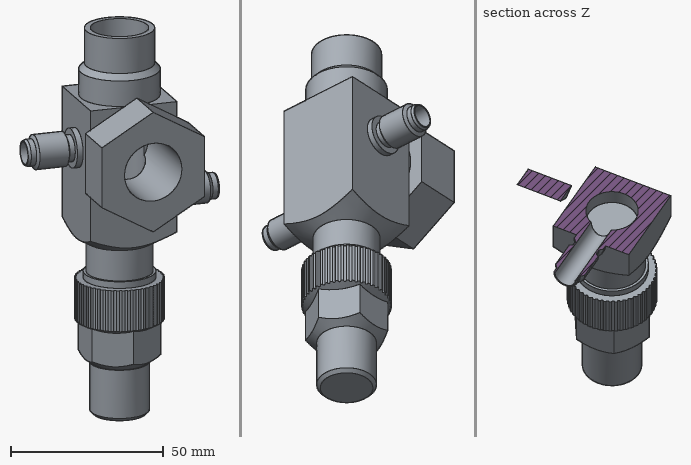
import math
import cadquery as cq

TOTAL_HEIGHT = 132.5

BLOCK_WIDTH_X = 28.0
BLOCK_WIDTH_Y = 30.0
BLOCK_BOTTOM = 59.4
BLOCK_TOP = 109.7
BLOCK_CONE_ANGLE = 30

COLLAR_RADIUS = 13.4
COLLAR_TOP = 118.5
TUBE_RADIUS = 11.5
TUBE_SHOULDER = 120.5
TUBE_BORE_RADIUS = 9.5

NECK_RADIUS = 11.0
FLANGE_RADIUS = 11.9
FLANGE_TOP = 48.9

KNURL_TOP = 46.6
KNURL_RIM_BOTTOM = 32.7
KNURL_RADIUS = 14.7
KNURL_GROOVES = 50
KNURL_CONE_ANGLE = 30

HEX_FLATS = 23.8
HEX_BOTTOM = 17.8
HEX_CONE_RADIUS = 9.3
HEX_CONE_ANGLE = 35
END_RADIUS = 9.8
END_CHAMFER = 1.2

OUTLET_Z = 92.9
OUTLET_NECK_RADIUS = 13.0
OUTLET_BORE_RADIUS = 10.0
NUT_FLATS = 35.6
NUT_START = 17.0
NUT_END = 33.0

FRONT_PORT_Z = OUTLET_Z
FRONT_PORT_PROFILE = [
    (6.6, 0), (6.6, 2.0), (4.5, 2.0), (4.5, 3.8), (5.8, 4.5), (5.8, 14.7),
    (4.5, 15.4), (4.5, 17.2), (4.1, 18.2),
]
BACK_PORT_Z = 74.6
BACK_PORT_PROFILE = [
    (5.4, 0), (5.4, 1.6), (4.4, 2.6), (4.4, 4.4), (5.4, 5.0), (5.4, 14.7),
    (4.4, 15.9), (4.4, 17.8), (4.1, 18.3),
]
PORT_BORE_RADIUS = 3.7

MAIN_BORE_RADIUS = 8.5
MAIN_BORE_FLOOR_GAP = 1.3
MAIN_BORE_FLOOR = BACK_PORT_Z - PORT_BORE_RADIUS - MAIN_BORE_FLOOR_GAP


def cylinder(radius, bottom, top):
    """Vertical cylinder on the main axis."""
    return cq.Workplane("XY").workplane(offset=bottom).circle(radius).extrude(top - bottom)


def turned(points):
    """Solid turned about Z from (radius, height) points; the first and last lie on the axis."""
    return cq.Workplane("XZ").polyline(points).close().revolve(360, (0, 0, 0), (0, 1, 0))


def hexagon_diameter(flats):
    """Width across the corners of a hexagon, from its width across the flats."""
    return flats / math.cos(math.radians(30))


def cone_trimmed(body, angle, radius, bottom, reach, top):
    """Trim a body from below with a cone that widens upward from `radius` at `bottom`.

    `angle` is measured from the horizontal; `reach` is a radius outside the body.
    """
    reach_height = bottom + (reach - radius) * math.tan(math.radians(angle))
    envelope = turned([
        (0, bottom), (radius, bottom), (reach, reach_height), (reach, top), (0, top),
    ])
    return body.intersect(envelope)


def block():
    body = (
        cq.Workplane("XY")
        .workplane(offset=BLOCK_BOTTOM)
        .rect(BLOCK_WIDTH_X, BLOCK_WIDTH_Y)
        .extrude(BLOCK_TOP - BLOCK_BOTTOM)
    )
    return cone_trimmed(
        body, BLOCK_CONE_ANGLE, NECK_RADIUS, BLOCK_BOTTOM, BLOCK_WIDTH_Y, BLOCK_TOP
    )


def solder_tube():
    return turned([
        (0, BLOCK_TOP), (COLLAR_RADIUS, BLOCK_TOP), (COLLAR_RADIUS, COLLAR_TOP),
        (TUBE_RADIUS, TUBE_SHOULDER), (TUBE_RADIUS, TOTAL_HEIGHT), (0, TOTAL_HEIGHT),
    ])


def knurled_ring():
    """Ring with half-round grooves that are as wide as the lands between them."""
    cone_height = (KNURL_RADIUS - END_RADIUS) * math.tan(math.radians(KNURL_CONE_ANGLE))
    bottom = KNURL_RIM_BOTTOM - cone_height
    pitch_angle = 360 / KNURL_GROOVES
    groove_radius = KNURL_RADIUS * math.radians(pitch_angle) / 4
    grooves = (
        cq.Workplane("XY")
        .workplane(offset=bottom)
        .polarArray(KNURL_RADIUS, pitch_angle / 2, 360, KNURL_GROOVES)
        .circle(groove_radius)
        .extrude(KNURL_TOP - bottom)
    )
    body = cylinder(KNURL_RADIUS, bottom, KNURL_TOP)
    body = cone_trimmed(body, KNURL_CONE_ANGLE, END_RADIUS, bottom, KNURL_RADIUS, KNURL_TOP)
    return body.cut(grooves)


def hexagonal_cap():
    diameter = hexagon_diameter(HEX_FLATS)
    body = (
        cq.Workplane("XY")
        .workplane(offset=HEX_BOTTOM)
        .polygon(6, diameter)
        .extrude(KNURL_RIM_BOTTOM - HEX_BOTTOM)
    )
    return cone_trimmed(
        body, HEX_CONE_ANGLE, HEX_CONE_RADIUS, HEX_BOTTOM, diameter, KNURL_RIM_BOTTOM
    )


def stem():
    neck = cylinder(NECK_RADIUS, FLANGE_TOP, BLOCK_BOTTOM)
    flange = cylinder(FLANGE_RADIUS, KNURL_TOP, FLANGE_TOP)
    round_end = cylinder(END_RADIUS, 0, HEX_BOTTOM).faces("<Z").chamfer(END_CHAMFER)
    return neck.union(flange).union(knurled_ring()).union(hexagonal_cap()).union(round_end)


def outlet_plane(x):
    """Plane facing +X, centred on the outlet axis."""
    return cq.Workplane("YZ", origin=(x, 0, OUTLET_Z))


def outlet():
    """Round neck and nut; two corners of the nut point up and down."""
    block_face = BLOCK_WIDTH_X / 2
    neck = outlet_plane(block_face).circle(OUTLET_NECK_RADIUS).extrude(NUT_START - block_face)
    nut = (
        outlet_plane(NUT_START)
        .transformed(rotate=(0, 0, 90))
        .polygon(6, hexagon_diameter(NUT_FLATS))
        .extrude(NUT_END - NUT_START)
    )
    return neck.union(nut)


def port(profile, side, height):
    """Turned port on the block face at the -Y (side = -1) or +Y (side = 1) end."""
    face = BLOCK_WIDTH_Y / 2
    outline = [(radius, side * (face + distance)) for radius, distance in profile]
    start = (0, outline[0][1])
    end = (0, outline[-1][1])
    return (
        cq.Workplane("XY")
        .polyline([start] + outline + [end])
        .close()
        .revolve(360, (0, 0, 0), (0, 1, 0))
        .translate((0, 0, height))
    )


def port_bore(profile, side, height):
    """Bore from the main axis out through the tip of a port."""
    length = BLOCK_WIDTH_Y / 2 + profile[-1][1]
    return (
        cq.Workplane("XZ", origin=(0, 0, height))
        .circle(PORT_BORE_RADIUS)
        .extrude(-side * length)
    )


def bores():
    tube_bore = cylinder(TUBE_BORE_RADIUS, BLOCK_TOP, TOTAL_HEIGHT)
    main_bore = cylinder(MAIN_BORE_RADIUS, MAIN_BORE_FLOOR, BLOCK_TOP)
    outlet_bore = outlet_plane(0).circle(OUTLET_BORE_RADIUS).extrude(NUT_END)
    front_bore = port_bore(FRONT_PORT_PROFILE, -1, FRONT_PORT_Z)
    back_bore = port_bore(BACK_PORT_PROFILE, 1, BACK_PORT_Z)
    return tube_bore.union(main_bore).union(outlet_bore).union(front_bore).union(back_bore)


result = (
    block()
    .union(solder_tube())
    .union(stem())
    .union(outlet())
    .union(port(FRONT_PORT_PROFILE, -1, FRONT_PORT_Z))
    .union(port(BACK_PORT_PROFILE, 1, BACK_PORT_Z))
    .cut(bores())
)